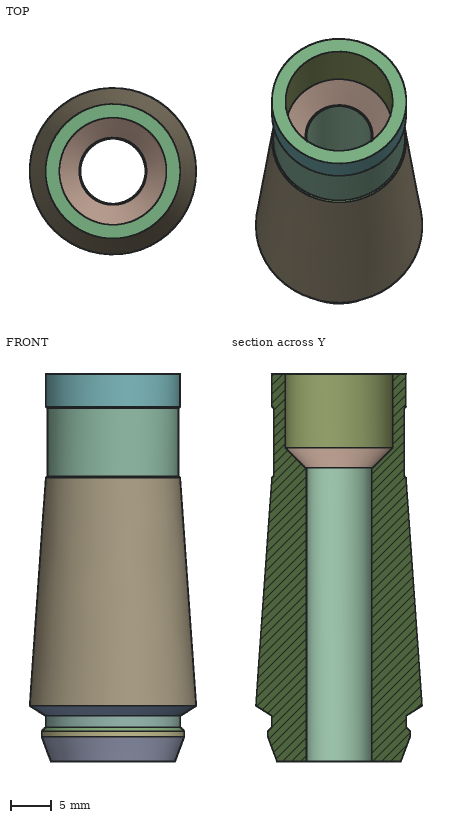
import cadquery as cq

total_height = 47.9
collar_length = 4.05
neck_recess_length = 8.75
nose_height = 3.05
rim_height = 0.7
groove_height = 1.4
shoulder_bevel_height = 1.25

collar_diameter = 16.6
neck_diameter = 16.25
shoulder_diameter = 20.6
groove_diameter = 16.65
rim_diameter = 17.65
nose_diameter = 15.35

mouth_diameter = 13.2
mouth_depth = 9.15
funnel_end_diameter = 8.35
funnel_length = (mouth_diameter - funnel_end_diameter) / 2
outlet_diameter = 8.0

collar_bottom = total_height - collar_length
barrel_top = collar_bottom - neck_recess_length
neck_bevel_height = (collar_diameter - neck_diameter) / 2
neck_top = collar_bottom - neck_bevel_height
neck_bottom = barrel_top + neck_bevel_height
rim_bevel_height = (rim_diameter - groove_diameter) / 2
rim_top = nose_height + rim_height
groove_bottom = rim_top + rim_bevel_height
groove_top = groove_bottom + groove_height
shoulder_height = groove_top + shoulder_bevel_height
funnel_top = total_height - mouth_depth
funnel_bottom = funnel_top - funnel_length


def revolve_profile(stations):
    """Solid of revolution about Z from (diameter, height) stations listed upward."""
    profile = [(diameter / 2, height) for diameter, height in stations]
    bottom = (0, profile[0][1])
    top = (0, profile[-1][1])
    outline = cq.Workplane("XZ").polyline([bottom, *profile, top]).close()
    return outline.revolve(360, (0, 0, 0), (0, 1, 0))


body = revolve_profile([
    (nose_diameter, 0),
    (rim_diameter, nose_height),
    (rim_diameter, rim_top),
    (groove_diameter, groove_bottom),
    (groove_diameter, groove_top),
    (shoulder_diameter, shoulder_height),
    (collar_diameter, barrel_top),
    (neck_diameter, neck_bottom),
    (neck_diameter, neck_top),
    (collar_diameter, collar_bottom),
    (collar_diameter, total_height),
])

bore = revolve_profile([
    (outlet_diameter, 0),
    (outlet_diameter, funnel_bottom),
    (funnel_end_diameter, funnel_bottom),
    (mouth_diameter, funnel_top),
    (mouth_diameter, total_height),
])

result = body.cut(bore)